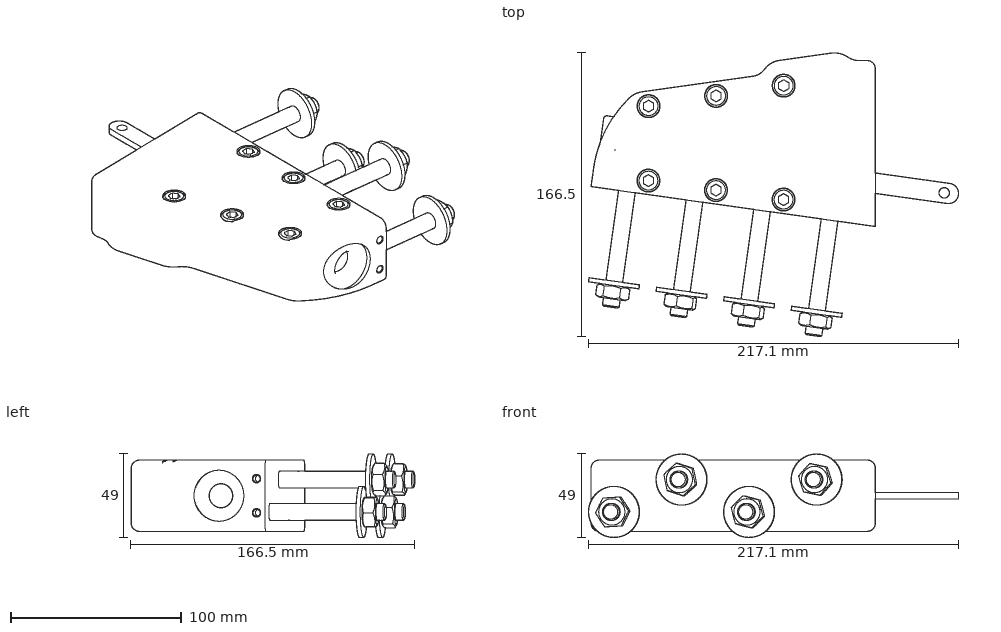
import cadquery as cq
import math

tilt = 8.0
height = 42.0
half_height = height / 2
front_length = 168.5
edge_round = 5.0
side_flat = 10.5

nose_corner = (25.8, 55.1)
ramp_foot = (99.3, 65.4)
ramp_head = (105.0, 73.3)
hump_corner = (146.1, 79.1)
shoulder_foot = (153.6, 74.0)
nose_round = 14.0
ramp_foot_round = 10.0
ramp_head_round = 13.0
hump_round = 14.0
shoulder_round = 11.5

stud_count = 4
stud_pitch = 40.0
first_stud = 21.3
stud_z = 9.5
stud_diameter = 10.0
stud_reach = 68.4
stud_chamfer = 0.8
stud_depth = 12.0
washer_diameter = 30.0
washer_thickness = 2.5
washer_reach = 53.0
nut_width = 17.0
nut_height = 8.0
nut_chamfer_angle = 30.0
nut_face_diameter = 15.5
nut_turns = (-3.5, 18.0, 15.0, 12.0)

screw_columns = 3
first_front_screw = (32.9, 8.2)
screw_pitch = 40.0
first_back_screw = (33.8, 47.2)
back_row_rise = 6.0
counterbore_diameter = 13.5
head_diameter = 13.0
head_height = 8.0
head_chamfer = 1.0
socket_width = 6.0
socket_depth = 4.0
socket_turn = 30.0

tap_diameter = 4.13
tap_mouth_diameter = 5.0
tap_depth = 10.0
tap_along_side = 5.0
tap_z = 10.0

bushing_diameter = 30.0
bushing_bore = 14.0
bushing_along_side = 27.5
bushing_end = 2.0
bushing_length = 9.0
flare_depth = 8.0
lip_depth = 1.5
crest_diameter = 24.0
passage_diameter = 24.0
passage_y = 26.4

lever_width = 12.0
lever_thickness = 4.0
lever_along_side = 25.2
lever_tip = 214.15
lever_root = 150.0
lever_hole_diameter = 6.0
lever_hole_to_tip = 8.5

tilt_rad = math.radians(tilt)


def tilted(shape):
    """Turn a shape from the frame of the front face (X along it) into place."""
    return shape.rotate((0, 0, 0), (0, 0, 1), -tilt)


def to_xy(along, back):
    """Turn a point of the tilted frame into X, Y."""
    x = along * math.cos(tilt_rad) + back * math.sin(tilt_rad)
    y = back * math.cos(tilt_rad) - along * math.sin(tilt_rad)
    return (x, y)


def cone_tip(diameter, included_angle=118.0):
    return diameter / 2 / math.tan(math.radians(included_angle / 2))


def housing_block():
    front_right = to_xy(front_length, 0)
    back_right = (front_right[0], shoulder_foot[1])
    block = (
        cq.Workplane("XY", origin=(0, 0, -half_height))
        .lineTo(*to_xy(0, side_flat))
        .tangentArcPoint(nose_corner, relative=False)
        .lineTo(*ramp_foot)
        .lineTo(*ramp_head)
        .lineTo(*hump_corner)
        .lineTo(*shoulder_foot)
        .lineTo(*back_right)
        .lineTo(*front_right)
        .close()
        .extrude(height)
    )
    rounds = [
        (nose_corner, nose_round),
        (ramp_foot, ramp_foot_round),
        (ramp_head, ramp_head_round),
        (hump_corner, hump_round),
        (shoulder_foot, shoulder_round),
        (back_right, edge_round),
    ]
    for corner, radius in rounds:
        block = block.edges(cq.NearestToPointSelector((*corner, 0))).fillet(radius)
    return block.faces(">Z or <Z").edges("not <Y").fillet(edge_round)


def screw_places():
    column_step = screw_pitch * math.cos(tilt_rad)
    places = []
    for column in range(screw_columns):
        along, back = first_front_screw
        places.append(to_xy(along + column * screw_pitch, back))
        x, y = first_back_screw
        places.append((x + column * column_step, y + column * back_row_rise))
    return places


def counterbores():
    return (
        cq.Workplane("XY", origin=(0, 0, half_height))
        .pushPoints(screw_places())
        .circle(counterbore_diameter / 2)
        .extrude(-head_height)
    )


def screw_head():
    """Head with a hexagon socket that ends in a cone, top centre at the origin."""
    corner_radius = socket_width / 2 / math.cos(math.pi / 6)
    full_depth = socket_depth + cone_tip(2 * corner_radius)
    drilled = (
        cq.Workplane("XZ")
        .lineTo(corner_radius, 0)
        .lineTo(corner_radius, -socket_depth)
        .lineTo(0, -full_depth)
        .close()
        .revolve(360, (0, 0, 0), (0, 1, 0))
    )
    hexagon = cq.Workplane("XY").polygon(6, 2 * corner_radius).extrude(-full_depth)
    socket = hexagon.intersect(drilled).rotate((0, 0, 0), (0, 0, 1), socket_turn)
    blank = (
        cq.Workplane("XY")
        .circle(head_diameter / 2)
        .extrude(-head_height)
        .faces(">Z")
        .chamfer(head_chamfer)
    )
    return blank.cut(socket)


def tapped_holes():
    radius = tap_diameter / 2
    mouth_radius = tap_mouth_diameter / 2
    profile = (
        cq.Workplane("XY")
        .lineTo(0, mouth_radius)
        .lineTo(mouth_radius - radius, radius)
        .lineTo(tap_depth, radius)
        .lineTo(tap_depth + cone_tip(tap_diameter), 0)
        .close()
        .revolve(360, (0, 0, 0), (1, 0, 0))
    )
    holes = cq.Workplane()
    for z in (-tap_z, tap_z):
        holes = holes.add(profile.translate((0, tap_along_side, z)))
    return tilted(holes.combine())


def bushing_seat():
    seat = (
        cq.Workplane("YZ", origin=(-bushing_diameter, 0, 0))
        .center(bushing_along_side, 0)
        .circle(bushing_diameter / 2)
        .extrude(bushing_diameter + bushing_end + bushing_length)
    )
    return tilted(seat)


def cable_passage():
    return (
        cq.Workplane("YZ", origin=(bushing_end + bushing_length, passage_y, 0))
        .circle(passage_diameter / 2)
        .extrude(front_length)
    )


def nut(turn):
    corner_radius = nut_width / 2 / math.cos(math.pi / 6)
    inset = corner_radius - nut_face_diameter / 2
    drop = inset * math.tan(math.radians(nut_chamfer_angle))
    prism = cq.Workplane("XZ").polygon(6, 2 * corner_radius).extrude(nut_height)
    turned_blank = (
        cq.Workplane("XY")
        .lineTo(corner_radius - inset, 0)
        .lineTo(corner_radius, -drop)
        .lineTo(corner_radius, drop - nut_height)
        .lineTo(corner_radius - inset, -nut_height)
        .lineTo(0, -nut_height)
        .close()
        .revolve(360, (0, 0, 0), (0, 1, 0))
    )
    return prism.intersect(turned_blank).rotate((0, 0, 0), (0, 1, 0), turn)


def stud_set(turn):
    """Stud with its washer and nut, pointing along -Y from the front face."""
    stud = (
        cq.Workplane("XZ", origin=(0, stud_depth, 0))
        .circle(stud_diameter / 2)
        .extrude(stud_depth + stud_reach)
        .faces("<Y")
        .chamfer(stud_chamfer)
    )
    washer = (
        cq.Workplane("XZ", origin=(0, -washer_reach, 0))
        .circle(washer_diameter / 2)
        .extrude(washer_thickness)
    )
    seated_nut = nut(turn).translate((0, -washer_reach - washer_thickness, 0))
    return stud.union(washer).union(seated_nut)


def lever_body():
    half_width = lever_width / 2
    round_start = lever_tip - half_width
    bar = (
        cq.Workplane("XY", origin=(0, lever_along_side, -lever_thickness / 2))
        .moveTo(lever_root, -half_width)
        .lineTo(round_start, -half_width)
        .threePointArc((lever_tip, 0), (round_start, half_width))
        .lineTo(lever_root, half_width)
        .close()
        .extrude(lever_thickness)
    )
    hole = (
        cq.Workplane("XY", origin=(lever_tip - lever_hole_to_tip, lever_along_side, -lever_thickness / 2))
        .circle(lever_hole_diameter / 2)
        .extrude(lever_thickness)
    )
    return tilted(bar.cut(hole))


def bushing_body():
    outer = bushing_diameter / 2
    crest = crest_diameter / 2
    bore = bushing_bore / 2
    body = (
        cq.Workplane("XY")
        .moveTo(bushing_length, bore)
        .lineTo(flare_depth, bore)
        .tangentArcPoint((0, crest), relative=False)
        .tangentArcPoint((lip_depth, outer), relative=False)
        .lineTo(bushing_length, outer)
        .close()
        .revolve(360, (0, 0, 0), (1, 0, 0))
    )
    return tilted(body.translate((bushing_end, bushing_along_side, 0)))


lever = lever_body()
bushing = bushing_body()

housing = housing_block()
housing = housing.cut(counterbores())
for x, y in screw_places():
    housing = housing.union(screw_head().translate((x, y, half_height)))
housing = housing.cut(tapped_holes()).cut(bushing_seat()).cut(cable_passage())
for index in range(stud_count):
    side = 1 if index % 2 else -1
    place = (first_stud + index * stud_pitch, 0, side * stud_z)
    housing = housing.union(tilted(stud_set(nut_turns[index]).translate(place)))
housing = housing.cut(lever)

result = cq.Compound.makeCompound([housing.val(), bushing.val(), lever.val()])